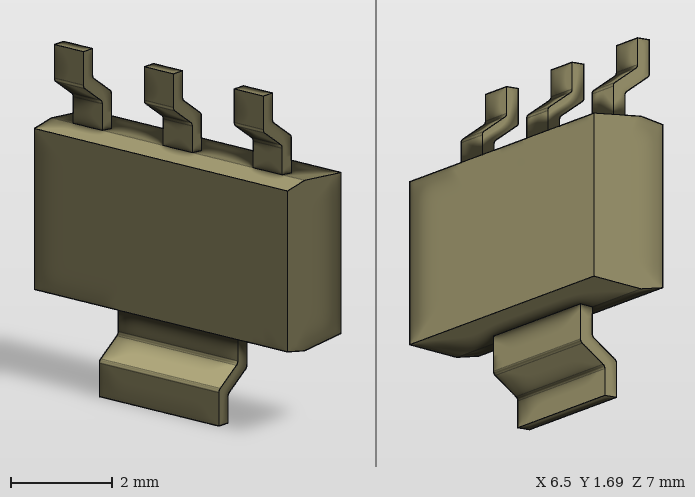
import cadquery as cq
import math

overall_height = 7.0
overall_depth = 1.69
body_length = 6.5
body_ridge_height = 3.5
body_face_height = 3.305
standoff = 0.055

metal_thickness = 0.28
shank_front = 0.575
foot_inner_corner = 0.595
bend_slope_angle = 36.0
bend_radius = 0.1
embed_depth = 0.14
lead_width = 0.75
lead_pitch = 2.31
lead_row_shift = -0.01
lead_count = 3
tab_width = 3.07


def extrude_centered(outline, length):
    """Extrude a YZ outline symmetrically along X."""
    return cq.Workplane("YZ").polyline(outline).close().extrude(length / 2, both=True)


def make_body():
    """Molded body whose top and bottom slope away from a parting ridge."""
    ridge = body_ridge_height / 2
    face = body_face_height / 2
    outline = [
        (standoff, -face),
        (shank_front, -ridge),
        (overall_depth, -face),
        (overall_depth, face),
        (shank_front, ridge),
        (standoff, face),
    ]
    return extrude_centered(outline, body_length)


def make_terminal(width):
    """Upward Z-bent strip of constant thickness, starting inside the body."""
    slope = math.radians(bend_slope_angle)
    miter = metal_thickness * math.tan((math.pi / 2 - slope) / 2)
    tip = overall_height / 2
    root = body_ridge_height / 2 - embed_depth
    shank_back = shank_front + metal_thickness
    foot_back_corner = tip - foot_inner_corner
    foot_front_corner = foot_back_corner - miter
    drop = shank_front * math.tan(slope)
    outline = [
        (shank_front, root),
        (shank_front, foot_front_corner - drop),
        (0, foot_front_corner),
        (0, tip),
        (metal_thickness, tip),
        (metal_thickness, foot_back_corner),
        (shank_back, foot_back_corner - drop),
        (shank_back, root),
    ]
    strip = extrude_centered(outline, width)
    bend_zone = cq.selectors.BoxSelector(
        (-width, -metal_thickness, root + embed_depth),
        (width, overall_depth, tip - metal_thickness),
    )
    bend_edges = strip.edges("|X").edges(bend_zone)
    return bend_edges.fillet(bend_radius)


result = make_body()

lead = make_terminal(lead_width)
for index in range(lead_count):
    offset = (index - (lead_count - 1) / 2) * lead_pitch + lead_row_shift
    result = result.union(lead.translate((offset, 0, 0)))

result = result.union(make_terminal(tab_width).mirror("XY"))